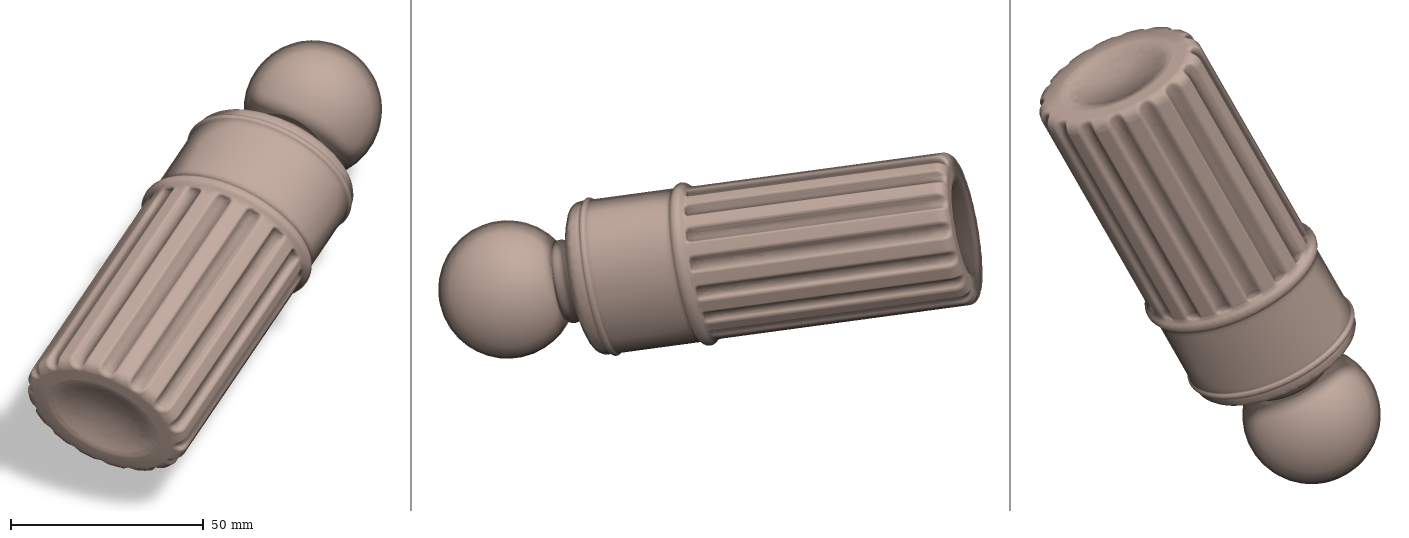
import cadquery as cq
import math

FLATTENING = 0.8

TOTAL_LENGTH = 139.89
BALL_RADIUS = 18.0
BALL_FLAT_OFFSET = 14.2
BALL_CENTRE_Y = TOTAL_LENGTH - BALL_RADIUS
BALL_SEAT_Y = BALL_CENTRE_Y - BALL_FLAT_OFFSET

COLLAR_RADIUS = 12.1
COLLAR_BASE_Y = 103.4
COLLAR_TOP_RADIUS = 11.5
COLLAR_BEAD_Y = 105.9
COLLAR_BEAD_RADIUS = 12.55
COLLAR_BEAD_SECTION_RADIUS = 1.9
COLLAR_BEAD_FILLET = 0.3

HANDLE_RADIUS = 23.1
END_FILLET = 3.0
SHOULDER_Y = 98.3
SHOULDER_BEND = (20.8, 101.6)
SHOULDER_SLOPE = 0.2

SMALL_BEAD_Y = 96.6
SMALL_BEAD_HEIGHT = 0.7
SMALL_BEAD_HALF_WIDTH = 0.85
SMALL_BEAD_FILLET = 0.3
BIG_BEAD_Y = 71.7
BIG_BEAD_RADIUS = 24.5
BIG_BEAD_HEIGHT = BIG_BEAD_RADIUS - HANDLE_RADIUS
BIG_BEAD_HALF_WIDTH = 1.75
BIG_BEAD_UPPER_FILLET = 0.5
BIG_BEAD_LOWER_FILLET = 1.4

FLUTE_COUNT = 16
FLUTE_RADIUS = 2.05
FLUTE_PITCH = 360 / FLUTE_COUNT
FLUTE_TURN = 2.0
FLUTE_EDGE_FILLET = 1.0
FLUTE_TOP_Y = 69.4
FLUTE_TOP_FILLET = 1.0

DISH_RADIUS = 15.0
DISH_DEPTH = 3.5
DISH_RIM_FILLET = 4.0


def flatten(body):
    """Squeeze a round body along Z into its elliptical form."""
    squeeze = cq.Matrix([[1, 0, 0, 0], [0, 1, 0, 0], [0, 0, FLATTENING, 0]])
    return cq.Workplane(body.val().transformGeometry(squeeze))


def turn(outline):
    """Revolve a closed outline of (radius, Y) about the Y axis."""
    return outline.close().revolve(360, (0, 0, 0), (0, 1, 0))


def bead(outline, radius, y, height, half_width):
    """Run an outline that climbs in Y along a wall and over a rounded bead on it."""
    return outline.lineTo(radius, y - half_width).threePointArc(
        (radius + height, y), (radius, y + half_width)
    )


def ring_edge(body, radius, y):
    """The round edge of the given radius around the Y axis at height y."""
    reach = radius + 0.01
    thin = 0.01
    box = cq.selectors.BoxSelector((-reach, y - thin, -reach), (reach, y + thin, reach), True)
    return body.edges(box)


def make_ball():
    """Sphere with a flat where it sits on the collar."""
    flat_radius = math.sqrt(BALL_RADIUS**2 - BALL_FLAT_OFFSET**2)
    outline = (
        cq.Workplane("XY")
        .moveTo(0, BALL_SEAT_Y)
        .lineTo(flat_radius, BALL_SEAT_Y)
        .threePointArc((BALL_RADIUS, BALL_CENTRE_Y), (0, TOTAL_LENGTH))
    )
    return turn(outline)


def make_collar():
    """Short neck with a rounded bead, between the shoulder and the ball."""
    bead_centre_radius = COLLAR_BEAD_RADIUS - COLLAR_BEAD_SECTION_RADIUS
    bead_foot_y = COLLAR_BEAD_Y - math.sqrt(
        COLLAR_BEAD_SECTION_RADIUS**2 - (COLLAR_RADIUS - bead_centre_radius) ** 2
    )
    bead_top_y = COLLAR_BEAD_Y + math.sqrt(
        COLLAR_BEAD_SECTION_RADIUS**2 - (COLLAR_TOP_RADIUS - bead_centre_radius) ** 2
    )
    outline = (
        cq.Workplane("XY")
        .moveTo(0, COLLAR_BASE_Y)
        .lineTo(COLLAR_RADIUS, COLLAR_BASE_Y)
        .lineTo(COLLAR_RADIUS, bead_foot_y)
        .threePointArc((COLLAR_BEAD_RADIUS, COLLAR_BEAD_Y), (COLLAR_TOP_RADIUS, bead_top_y))
        .lineTo(COLLAR_TOP_RADIUS, BALL_SEAT_Y)
        .lineTo(0, BALL_SEAT_Y)
    )
    collar = ring_edge(turn(outline), COLLAR_RADIUS, bead_foot_y).fillet(COLLAR_BEAD_FILLET)
    return flatten(collar)


def handle_blank():
    """Domed handle with its two beads, before the flutes and the recess."""
    outline = cq.Workplane("XY").lineTo(HANDLE_RADIUS, 0)
    outline = bead(outline, HANDLE_RADIUS, BIG_BEAD_Y, BIG_BEAD_HEIGHT, BIG_BEAD_HALF_WIDTH)
    outline = bead(outline, HANDLE_RADIUS, SMALL_BEAD_Y, SMALL_BEAD_HEIGHT, SMALL_BEAD_HALF_WIDTH)
    outline = (
        outline.lineTo(HANDLE_RADIUS, SHOULDER_Y)
        .spline(
            [SHOULDER_BEND, (COLLAR_RADIUS, COLLAR_BASE_Y)],
            tangents=[(0, 1), (-1, SHOULDER_SLOPE)],
            includeCurrent=True,
        )
        .lineTo(0, COLLAR_BASE_Y)
    )
    blank = turn(outline).rotate((0, 0, 0), (0, 1, 0), FLUTE_PITCH / 2)
    roundings = [
        (0, END_FILLET),
        (BIG_BEAD_Y - BIG_BEAD_HALF_WIDTH, BIG_BEAD_LOWER_FILLET),
        (BIG_BEAD_Y + BIG_BEAD_HALF_WIDTH, BIG_BEAD_UPPER_FILLET),
        (SMALL_BEAD_Y - SMALL_BEAD_HALF_WIDTH, SMALL_BEAD_FILLET),
        (SMALL_BEAD_Y + SMALL_BEAD_HALF_WIDTH, SMALL_BEAD_FILLET),
    ]
    for y, fillet_radius in roundings:
        blank = ring_edge(blank, HANDLE_RADIUS, y).fillet(fillet_radius)
    return blank


def cut_flutes(blank):
    """Cut evenly spaced grooves of circular section, each with a rounded upper end and edges."""
    groove = (
        cq.Workplane("XZ")
        .center(0, HANDLE_RADIUS)
        .circle(FLUTE_RADIUS)
        .extrude(-FLUTE_TOP_Y)
        .faces(">Y")
        .edges()
        .fillet(FLUTE_TOP_FILLET)
    )
    grooves = [
        groove.val().rotate(cq.Vector(), cq.Vector(0, 1, 0), FLUTE_TURN + index * FLUTE_PITCH)
        for index in range(FLUTE_COUNT)
    ]
    fluted = blank.cut(cq.Workplane(cq.Compound.makeCompound(grooves)))
    long_edges = [edge for edge in fluted.edges("|Y").vals() if edge.BoundingBox().ymax < BIG_BEAD_Y]
    return fluted.newObject(long_edges).fillet(FLUTE_EDGE_FILLET)


def cut_dish(handle):
    """Sink a shallow spherical dish into the grip end and round its rim."""
    sphere_radius = (DISH_RADIUS**2 + DISH_DEPTH**2) / (2 * DISH_DEPTH)
    sphere = cq.Workplane("XZ").sphere(sphere_radius).translate((0, DISH_DEPTH - sphere_radius, 0))
    return ring_edge(handle.cut(sphere), DISH_RADIUS, 0).fillet(DISH_RIM_FILLET)


def make_handle():
    """Fluted, dished handle in its flattened form."""
    return flatten(cut_dish(cut_flutes(handle_blank())))


result = cq.Compound.makeCompound([make_ball().val(), make_collar().val(), make_handle().val()])